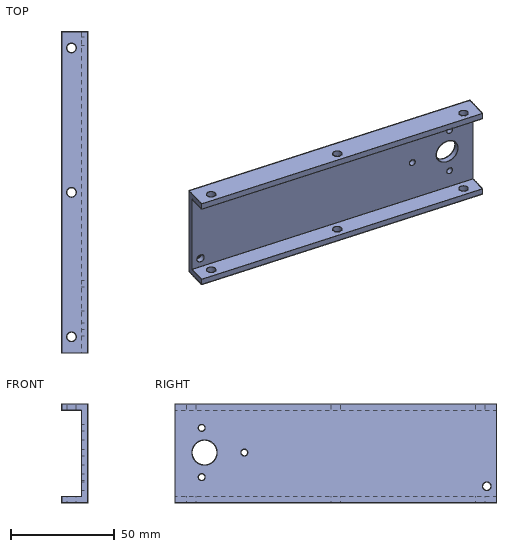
import cadquery as cq
import math

WIDTH = 12.7
LENGTH = 155.575
HEIGHT = 47.88
THICKNESS = 3.175

FLANGE_HOLE_DIAMETER = 4.5
FLANGE_HOLE_PITCH = 69.85
FLANGE_HOLE_X = -THICKNESS / 2

MOTOR_Y = -57.95
MOTOR_Z = 0.4
MOTOR_SCREW_CIRCLE_RADIUS = 13.75
MOTOR_SCREW_COUNT = 3
MOTOR_SCREW_DIAMETER = 3.175
SHAFT_OFFSET = 5.5
SHAFT_OPENING_DIAMETER = 12.0

CORNER_HOLE_DIAMETER = 4.0
CORNER_HOLE_Y = 73.05
CORNER_HOLE_Z = -15.9


def channel():
    """U-shaped channel running along Y and open toward -X."""
    block = cq.Workplane("XY").box(WIDTH, LENGTH, HEIGHT)
    cavity = cq.Workplane("XY").box(WIDTH, LENGTH, HEIGHT - 2 * THICKNESS)
    return block.cut(cavity.translate((-THICKNESS, 0, 0)))


def flange_holes():
    """Row of three vertical cylinders that pass through both flanges."""
    centers = [(FLANGE_HOLE_X, step * FLANGE_HOLE_PITCH) for step in (-1, 0, 1)]
    radius = FLANGE_HOLE_DIAMETER / 2
    return cq.Workplane("XY").pushPoints(centers).circle(radius).extrude(HEIGHT, both=True)


def web_hole(y, z, diameter):
    """Cylinder along X that passes through the web at (y, z)."""
    return cq.Workplane("YZ").center(y, z).circle(diameter / 2).extrude(WIDTH)


def motor_screw_holes():
    """Evenly spaced screw holes on the motor circle, the first one toward +Y."""
    holes = cq.Workplane("YZ")
    for index in range(MOTOR_SCREW_COUNT):
        angle = 2 * math.pi * index / MOTOR_SCREW_COUNT
        y = MOTOR_Y + MOTOR_SCREW_CIRCLE_RADIUS * math.cos(angle)
        z = MOTOR_Z + MOTOR_SCREW_CIRCLE_RADIUS * math.sin(angle)
        holes = holes.add(web_hole(y, z, MOTOR_SCREW_DIAMETER))
    return holes.combine()


result = (
    channel()
    .cut(flange_holes())
    .cut(motor_screw_holes())
    .cut(web_hole(MOTOR_Y - SHAFT_OFFSET, MOTOR_Z, SHAFT_OPENING_DIAMETER))
    .cut(web_hole(CORNER_HOLE_Y, CORNER_HOLE_Z, CORNER_HOLE_DIAMETER))
)